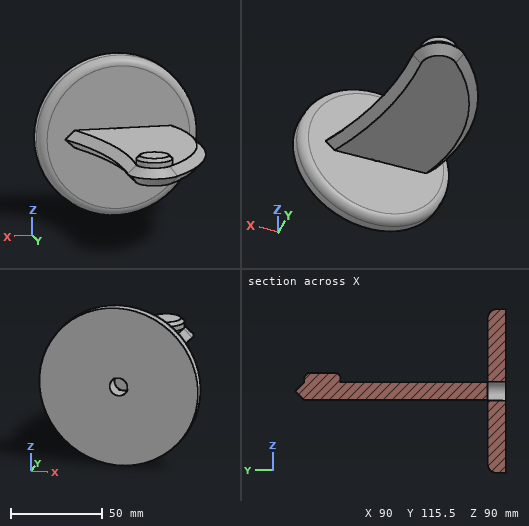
import cadquery as cq
import math

foot_diameter = 90.0
foot_thickness = 10.0
foot_edge_radius = 5.0
hole_diameter = 10.0

overall_length = 115.5
blade_half_thickness = 5.0
edge_angle = 45.0
tip_radius = 15.0
tip_y = overall_length - tip_radius
back_radius = 99.2
back_center_y = 40.6
belly_radius = 184.8
belly_center_y = 83.8

button_diameter = 20.0
button_height = 5.0
button_chamfer = 2.0

back_center_x = math.sqrt((back_radius - tip_radius) ** 2 - (tip_y - back_center_y) ** 2)
belly_center_x = math.sqrt((belly_radius + tip_radius) ** 2 - (tip_y - belly_center_y) ** 2)


def back_point(y):
    """Point on the convex back edge at height y."""
    return (back_center_x - math.sqrt(back_radius**2 - (y - back_center_y) ** 2), y)


def belly_point(y):
    """Point on the concave belly edge at height y."""
    return (belly_center_x - math.sqrt(belly_radius**2 - (y - belly_center_y) ** 2), y)


def make_foot():
    """Disc with its blade-side rim rounded."""
    disc = cq.Workplane("XZ").circle(foot_diameter / 2).extrude(-foot_thickness)
    return disc.faces(">Y").edges().fillet(foot_edge_radius)


def make_blade():
    """Blade that narrows from its mid-plane outline towards both flat faces."""
    back_tangent_y = tip_y + tip_radius * (tip_y - back_center_y) / (back_radius - tip_radius)
    belly_tangent_y = tip_y - tip_radius * (tip_y - belly_center_y) / (belly_radius + tip_radius)
    upper_half = (
        cq.Workplane("XY")
        .moveTo(*belly_point(0))
        .threePointArc(belly_point(belly_tangent_y / 2), belly_point(belly_tangent_y))
        .threePointArc((0, overall_length), back_point(back_tangent_y))
        .threePointArc(back_point(back_center_y), back_point(0))
        .close()
        .extrude(blade_half_thickness, taper=edge_angle)
    )
    return upper_half.union(upper_half.mirror("XY"))


def make_button():
    """Chamfered round button standing on the blade's upper face."""
    button = (
        cq.Workplane("XY")
        .center(0, tip_y)
        .circle(button_diameter / 2)
        .extrude(blade_half_thickness + button_height)
    )
    return button.faces(">Z").edges().chamfer(button_chamfer)


def make_hole():
    """Blind hole through the foot, ending against the root of the blade."""
    return cq.Workplane("XZ").circle(hole_diameter / 2).extrude(-foot_thickness)


result = make_foot().union(make_blade()).union(make_button()).cut(make_hole())